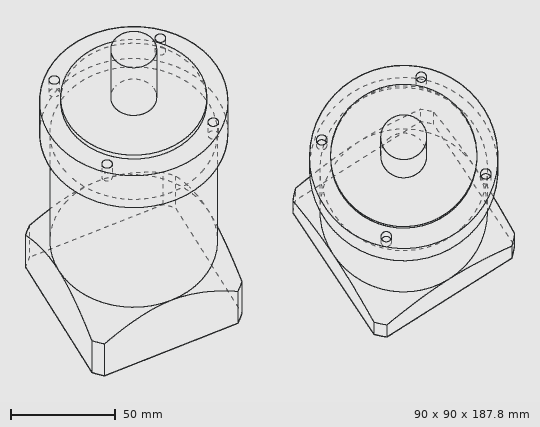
import cadquery as cq

total_height = 187.8
shaft_diameter = 22.0
pilot_diameter = 69.9
pilot_top = 150.6
flange_diameter = 90.0
flange_top = 147.6
flange_thickness = 25.0
flange_bottom = flange_top - flange_thickness
body_diameter = 80.0

base_width = body_diameter
corner_radius = 53.5
corner_height = 25.0
base_height = corner_height + corner_radius - body_diameter / 2

hole_diameter = 5.0
hole_depth = 10.0
hole_circle_diameter = body_diameter
hole_count = 4
first_hole_angle = 45.0


def cylinder(diameter, bottom, top):
    return cq.Workplane("XY").workplane(offset=bottom).circle(diameter / 2).extrude(top - bottom)


def square_base():
    """Square block trimmed by a turned blank with a 45 degree cone on top."""
    block = cq.Workplane("XY").rect(base_width, base_width).extrude(base_height)
    turned_blank = (
        cq.Workplane("XZ")
        .polyline([
            (0, 0),
            (corner_radius, 0),
            (corner_radius, corner_height),
            (body_diameter / 2, base_height),
            (0, base_height),
        ])
        .close()
        .revolve(360, (0, 0, 0), (0, 1, 0))
    )
    return block.intersect(turned_blank)


def drilled_flange():
    """Output flange with blind bolt holes in its top face."""
    holes = (
        cq.Workplane("XY")
        .workplane(offset=flange_top)
        .polarArray(hole_circle_diameter / 2, first_hole_angle, 360, hole_count)
        .circle(hole_diameter / 2)
        .extrude(-hole_depth)
    )
    return cylinder(flange_diameter, flange_bottom, flange_top).cut(holes)


result = (
    square_base()
    .union(cylinder(body_diameter, base_height, flange_bottom))
    .union(drilled_flange())
    .union(cylinder(pilot_diameter, flange_top, pilot_top))
    .union(cylinder(shaft_diameter, pilot_top, total_height))
)